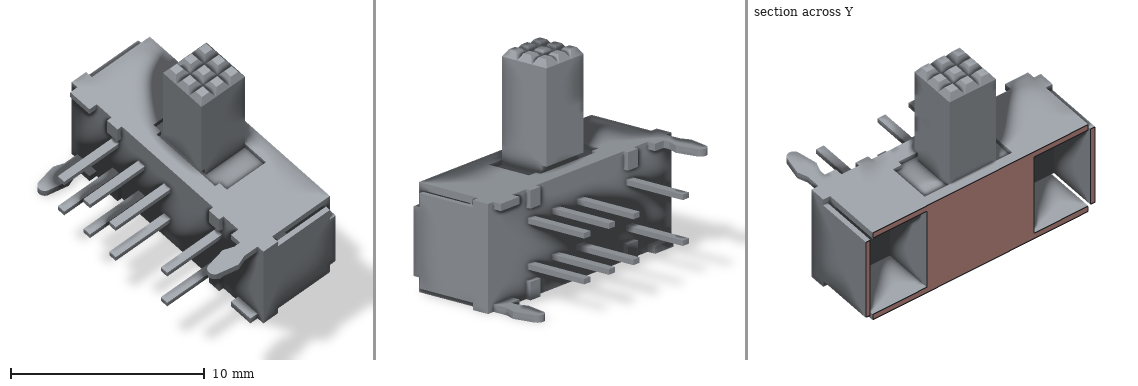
import cadquery as cq
BODY_LENGTH = 14.9
BODY_DEPTH = 5.0
BODY_HEIGHT = 6.0
SHEET = 0.4
COVER_LENGTH = 14.0
FRONT_BAND = 1.0
FRONT_Y = -BODY_DEPTH / 2
BACK_Y = BODY_DEPTH / 2
BAND_Y = FRONT_Y + FRONT_BAND

PLATE_THICKNESS = 0.3
BACK_WALL = 0.4
BACK_TAB_BOTTOM = 1.0
BACK_TAB_TOP = 4.8
BRIDGE_DEPTH = 0.5

HOLLOW_LENGTH = 3.5

WINDOW_CENTER_X = 0.3
WINDOW_LENGTH = 5.7
WINDOW_NARROW_LENGTH = 4.55
WINDOW_DEPTH = 0.3

KNOB_CENTER_X = 0.025
KNOB_WIDTH = 3.0
KNOB_TOP = 12.0
KNOB_RELIEF_TOP = 6.25
KNOB_RELIEF_DEPTH = 0.3
GRIP_COUNT = 3
GRIP_HEIGHT = 0.385
GRIP_TIP = 0.5
GRIP_PITCH = KNOB_WIDTH / GRIP_COUNT

PIN_XS = (-4.0, -2.0, 0.0, 4.0)
PIN_ROW_SPACING = 2.5
PIN_WIDTH = 0.5
PIN_THICKNESS = 0.3
PIN_LENGTH = 3.8

CLIP_CENTER_X = 3.95
CLIP_WIDTH = 0.8
CLIP_HEIGHT = 1.0
CLIP_THICKNESS = 0.3

FOOT_WIDTH = 1.5
FOOT_LENGTH = 0.5
PRONG_NECK_WIDTH = 0.8
PRONG_MAX_WIDTH = 1.25
PRONG_END_WIDTH = 0.74
PRONG_NECK_REACH = 0.9
PRONG_MAX_REACH = 1.5
PRONG_TAPER_REACH = 2.72
PRONG_TIP_REACH = 3.0
PRONG_CENTER_X = (COVER_LENGTH - PRONG_NECK_WIDTH) / 2


def block(x_range, y_range, z_range):
    """Box spanning the given (low, high) ranges."""
    sizes = [high - low for low, high in (x_range, y_range, z_range)]
    corner = (x_range[0], y_range[0], z_range[0])
    return cq.Workplane("XY").box(*sizes, centered=False).translate(corner)


def centered_range(center, size):
    return (center - size / 2, center + size / 2)


def make_end_plate():
    """End plate on the +X side, with the tab joining it to the core at the back."""
    outer_x = BODY_LENGTH / 2
    plate = block(
        (outer_x - PLATE_THICKNESS, outer_x),
        (BAND_Y, BACK_Y - BACK_WALL),
        (SHEET, BODY_HEIGHT - SHEET),
    )
    back_tab = block(
        (COVER_LENGTH / 2, outer_x),
        (BACK_Y - BACK_WALL, BACK_Y),
        (BACK_TAB_BOTTOM, BACK_TAB_TOP),
    )
    return plate.union(back_tab)


def make_hollow():
    """Pocket in the +X end of the core, leaving the cover sheets and the back wall."""
    end_x = COVER_LENGTH / 2
    return block(
        (end_x - HOLLOW_LENGTH, end_x),
        (BAND_Y + BRIDGE_DEPTH, BACK_Y - BACK_WALL),
        (SHEET, BODY_HEIGHT - SHEET),
    )


def make_housing():
    full_height = (0, BODY_HEIGHT)
    core = block(centered_range(0, COVER_LENGTH), (FRONT_Y, BACK_Y), full_height)
    band = block(centered_range(0, BODY_LENGTH), (FRONT_Y, BAND_Y), full_height)
    hollow = make_hollow()
    core = core.cut(hollow).cut(hollow.mirror("YZ"))
    plate = make_end_plate()
    bridge = block(
        (-BODY_LENGTH / 2, -COVER_LENGTH / 2),
        (BAND_Y, BAND_Y + BRIDGE_DEPTH),
        (SHEET, BODY_HEIGHT - SHEET),
    )
    return core.union(band).union(plate).union(plate.mirror("YZ")).union(bridge)


def make_window():
    """Shallow recess, shorter along its front edge."""
    z_range = (BODY_HEIGHT - WINDOW_DEPTH, BODY_HEIGHT)
    front_y = -KNOB_WIDTH / 2
    back_y = KNOB_WIDTH / 2
    wide = block(
        centered_range(WINDOW_CENTER_X, WINDOW_LENGTH),
        (front_y + KNOB_RELIEF_DEPTH, back_y),
        z_range,
    )
    narrow = block(
        centered_range(WINDOW_CENTER_X, WINDOW_NARROW_LENGTH),
        (front_y, back_y),
        z_range,
    )
    return wide.union(narrow)


def make_knob():
    shoulder_z = KNOB_TOP - GRIP_HEIGHT
    x_range = centered_range(KNOB_CENTER_X, KNOB_WIDTH)
    front_y = -KNOB_WIDTH / 2
    back_y = KNOB_WIDTH / 2
    knob = block(x_range, (front_y, back_y), (KNOB_RELIEF_TOP, shoulder_z))
    neck = block(
        x_range,
        (front_y + KNOB_RELIEF_DEPTH, back_y),
        (BODY_HEIGHT - WINDOW_DEPTH, KNOB_RELIEF_TOP),
    )
    knob = knob.union(neck)
    for column in range(GRIP_COUNT):
        for row in range(GRIP_COUNT):
            x = KNOB_CENTER_X + (column - (GRIP_COUNT - 1) / 2) * GRIP_PITCH
            y = (row - (GRIP_COUNT - 1) / 2) * GRIP_PITCH
            grip = (
                cq.Workplane("XY", origin=(x, y, shoulder_z))
                .rect(GRIP_PITCH, GRIP_PITCH)
                .workplane(offset=GRIP_HEIGHT)
                .rect(GRIP_TIP, GRIP_TIP)
                .loft(ruled=True)
            )
            knob = knob.union(grip)
    return knob


def add_pins(part):
    for side in (-1, 1):
        z = BODY_HEIGHT / 2 + side * PIN_ROW_SPACING / 2
        for x in PIN_XS:
            pin = block(
                centered_range(x, PIN_WIDTH),
                (FRONT_Y - PIN_LENGTH, FRONT_Y),
                centered_range(z, PIN_THICKNESS),
            )
            part = part.union(pin)
    return part


def add_clips(part):
    for z in (0, BODY_HEIGHT - CLIP_HEIGHT):
        for side in (-1, 1):
            clip = block(
                centered_range(side * CLIP_CENTER_X, CLIP_WIDTH),
                (FRONT_Y - CLIP_THICKNESS, FRONT_Y),
                (z, z + CLIP_HEIGHT),
            )
            part = part.union(clip)
    return part


def add_feet(part):
    center_x = (COVER_LENGTH - FOOT_WIDTH) / 2
    for z in (0, BODY_HEIGHT - SHEET):
        for side in (-1, 1):
            foot = block(
                centered_range(side * center_x, FOOT_WIDTH),
                (FRONT_Y - FOOT_LENGTH, FRONT_Y),
                (z, z + SHEET),
            )
            part = part.union(foot)
    return part


def make_prong(center_x, bottom_z):
    """Flat arrow-shaped prong with a rounded tip, pointing along -Y."""
    neck = PRONG_NECK_WIDTH / 2
    widest = PRONG_MAX_WIDTH / 2
    end = PRONG_END_WIDTH / 2
    return (
        cq.Workplane("XY", origin=(center_x, FRONT_Y, bottom_z))
        .moveTo(-neck, 0)
        .lineTo(-neck, -PRONG_NECK_REACH)
        .lineTo(-widest, -PRONG_MAX_REACH)
        .lineTo(-end, -PRONG_TAPER_REACH)
        .threePointArc((0, -PRONG_TIP_REACH), (end, -PRONG_TAPER_REACH))
        .lineTo(widest, -PRONG_MAX_REACH)
        .lineTo(neck, -PRONG_NECK_REACH)
        .lineTo(neck, 0)
        .close()
        .extrude(SHEET)
    )


part = make_housing().cut(make_window()).union(make_knob())
part = add_pins(part)
part = add_clips(part)
part = add_feet(part)
part = part.union(make_prong(-PRONG_CENTER_X, 0))
part = part.union(make_prong(PRONG_CENTER_X, BODY_HEIGHT - SHEET))

result = part